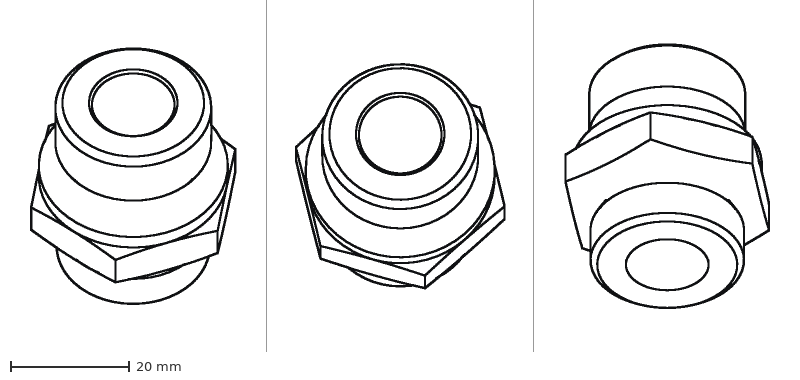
import cadquery as cq
import math

total_height = 38.0
across_flats = 32.0
across_corners = across_flats / math.cos(math.radians(30))
hex_bottom = 12.0
hex_top = 19.08
hex_chamfer_drop = 0.65

collar_top = 22.0
collar_edge_width = 1.0
collar_edge_height = 0.23

upper_diameter = 26.4
upper_groove_diameter = 23.9
upper_shoulder = 27.95
upper_chamfer = 1.2

lower_diameter = 26.0
lower_groove_diameter = 23.7
lower_shoulder = 7.45
lower_chamfer_width = 1.15
lower_chamfer_height = 0.95

cone_angle = 30.0
flare_fillet = 1.0
flare_sink = 0.057
upper_blend_fillet = 1.2
lower_blend_fillet = 1.0

bore_diameter = 14.0
bore_mouth_diameter = 14.97
bore_chamfer = (bore_mouth_diameter - bore_diameter) / 2


def revolve(points):
    """Turn a closed (radius, height) outline about the Z axis."""
    return cq.Workplane("XZ").polyline(points).close().revolve(360, (0, 0), (0, 1))


def collar_outline():
    """(radius, height) points of the collar, with a shallow bevel on its upper rim."""
    radius = across_flats / 2
    return [
        (0, hex_top),
        (radius, hex_top),
        (radius, collar_top - collar_edge_height),
        (radius - collar_edge_width, collar_top),
    ]


def stud(base_outline, radius, groove_radius, shoulder, end, chamfer_width, chamfer_height,
         blend_fillet, sink=0):
    """Chamfered cylinder with a filleted undercut running to the flange face.

    The base outline leads from the axis to the flange face the stud stands on.
    """
    flange = base_outline[-1][1]
    direction = math.copysign(1, end - flange)
    cone_height = (radius - groove_radius) / math.tan(math.radians(cone_angle))
    cone_end = shoulder - direction * cone_height

    blend = blend_fillet * math.tan(math.radians(cone_angle / 2))
    blend_start = cone_end - direction * blend
    blend_end_radius = groove_radius + blend * math.sin(math.radians(cone_angle))
    blend_end = cone_end + direction * blend * math.cos(math.radians(cone_angle))

    flare_height = flare_fillet - sink
    flare_reach = math.sqrt(flare_fillet**2 - flare_height**2)
    flare_center = groove_radius + flare_fillet
    flare_radius = flare_center + flare_reach
    diagonal = flare_fillet / math.sqrt(2)
    flare_end = flange + direction * flare_height

    return (
        cq.Workplane("XZ")
        .polyline(base_outline)
        .lineTo(flare_radius, flange)
        .threePointArc((flare_center - diagonal, flare_end - direction * diagonal),
                       (groove_radius, flare_end))
        .lineTo(groove_radius, blend_start)
        .radiusArc((blend_end_radius, blend_end), direction * blend_fillet)
        .lineTo(radius, shoulder)
        .lineTo(radius, end - direction * chamfer_height)
        .lineTo(radius - chamfer_width, end)
        .lineTo(0, end)
        .close()
        .revolve(360, (0, 0), (0, 1))
    )


def hexagon():
    """Hexagon with corners on the Y axis and both faces coned at the corners."""
    flat_radius = across_flats / 2
    corner_radius = across_corners / 2
    prism = (
        cq.Workplane("XY", origin=(0, 0, hex_bottom))
        .polygon(6, across_corners)
        .extrude(hex_top - hex_bottom)
        .rotate((0, 0, 0), (0, 0, 1), 30)
    )
    envelope = revolve([
        (0, hex_bottom),
        (flat_radius, hex_bottom),
        (corner_radius, hex_bottom + hex_chamfer_drop),
        (corner_radius, hex_top - hex_chamfer_drop),
        (flat_radius, hex_top),
        (0, hex_top),
    ])
    return prism.intersect(envelope)


def bore():
    """Through bore with a chamfered upper mouth."""
    radius = bore_diameter / 2
    return revolve([
        (0, 0),
        (radius, 0),
        (radius, total_height - bore_chamfer),
        (radius + bore_chamfer, total_height),
        (0, total_height),
    ])


upper_stud = stud(
    collar_outline(), upper_diameter / 2, upper_groove_diameter / 2, upper_shoulder,
    total_height, upper_chamfer, upper_chamfer,
    upper_blend_fillet, flare_sink,
)
lower_stud = stud(
    [(0, hex_bottom), (lower_groove_diameter / 2, hex_bottom)],
    lower_diameter / 2, lower_groove_diameter / 2, lower_shoulder,
    0, lower_chamfer_width, lower_chamfer_height,
    lower_blend_fillet,
)

body = hexagon().union(upper_stud).union(lower_stud)
result = body.cut(bore())